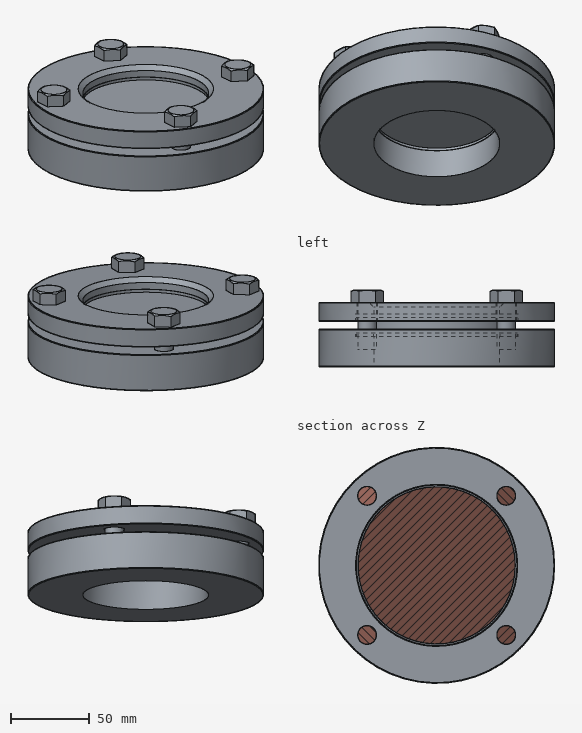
import cadquery as cq
import math


flange_diameter = 150
view_diameter = 80
base_height = 24
cover_thickness = 12
edge_chamfer = 0.5
view_chamfer = 3

glass_diameter = 100
glass_thickness = 10
gasket_outer_diameter = 102
gasket_inner_diameter = 80.5
gasket_thickness = 2
recess_diameter = 103
recess_depth = 4.5

bolt_count = 4
bolt_circle_diameter = 125
first_bolt_angle = 45
bolt_diameter = 12
bolt_length = 30
clearance_hole_diameter = 13
head_sides = 6
head_across_flats = 18
head_height = 8
head_top_diameter = 16.4
head_chamfer_angle = 23

base_recess_floor = base_height - recess_depth
glass_bottom = base_recess_floor + gasket_thickness
glass_top = glass_bottom + glass_thickness
upper_gasket_top = glass_top + gasket_thickness
cover_bottom = upper_gasket_top - recess_depth
cover_top = cover_bottom + cover_thickness
head_top = cover_top + head_height
bolt_tip = cover_top - bolt_length


def disc(diameter, bottom, top):
    """Solid cylinder on the Z axis between two levels."""
    return cq.Workplane("XY").workplane(offset=bottom).circle(diameter / 2).extrude(top - bottom)


def bolt_cylinders(diameter, bottom, top):
    """Cylinders between two levels, one at each bolt position."""
    return (
        cq.Workplane("XY")
        .workplane(offset=bottom)
        .polarArray(bolt_circle_diameter / 2, first_bolt_angle, 360, bolt_count)
        .circle(diameter / 2)
        .extrude(top - bottom)
    )


def make_flange(bottom, top):
    """Flange ring with chamfered outer edges and the round view opening."""
    blank = disc(flange_diameter, bottom, top).faces("<Z or >Z").edges().chamfer(edge_chamfer)
    return blank.cut(disc(view_diameter, bottom, top))


def make_base():
    """Lower flange with the glass recess and blind holes that hold the bolts."""
    base = make_flange(0, base_height)
    base = base.cut(disc(recess_diameter, base_recess_floor, base_height))
    return base.cut(bolt_cylinders(bolt_diameter, bolt_tip, base_height))


def make_cover():
    """Upper flange with a chamfered view opening, a gasket recess and clearance holes."""
    cover = make_flange(cover_bottom, cover_top)
    opening_rim = cq.selectors.RadiusNthSelector(0)
    cover = cover.faces(">Z").edges(opening_rim).chamfer(view_chamfer)
    cover = cover.cut(disc(recess_diameter, cover_bottom, upper_gasket_top))
    return cover.cut(bolt_cylinders(clearance_hole_diameter, cover_bottom, cover_top))


def make_gasket(bottom):
    """Flat sealing ring resting on the given level."""
    top = bottom + gasket_thickness
    return disc(gasket_outer_diameter, bottom, top).cut(disc(gasket_inner_diameter, bottom, top))


def make_bolt():
    """Hexagon head bolt on the Z axis, with two corners of the head along Y."""
    corner_diameter = head_across_flats / math.cos(math.pi / head_sides)
    head = (
        cq.Workplane("XY")
        .workplane(offset=cover_top)
        .polygon(head_sides, corner_diameter)
        .extrude(head_height)
        .rotate((0, 0, 0), (0, 0, 1), 90)
    )
    corner_radius = corner_diameter / 2
    top_radius = head_top_diameter / 2
    corner_drop = (corner_radius - top_radius) * math.tan(math.radians(head_chamfer_angle))
    chamfer_envelope = (
        cq.Workplane("XZ")
        .moveTo(0, cover_top)
        .lineTo(corner_radius, cover_top)
        .lineTo(corner_radius, head_top - corner_drop)
        .lineTo(top_radius, head_top)
        .lineTo(0, head_top)
        .close()
        .revolve(360, (0, 0), (0, 1))
    )
    shank = disc(bolt_diameter, bolt_tip, cover_top)
    return head.intersect(chamfer_envelope).union(shank)


base = make_base()
cover = make_cover()
glass = disc(glass_diameter, glass_bottom, glass_top)
lower_gasket = make_gasket(base_recess_floor)
upper_gasket = make_gasket(glass_top)

bolt = make_bolt()
bolts = []
for index in range(bolt_count):
    angle = math.radians(first_bolt_angle + index * 360 / bolt_count)
    bolt_x = bolt_circle_diameter / 2 * math.cos(angle)
    bolt_y = bolt_circle_diameter / 2 * math.sin(angle)
    bolts.append(bolt.translate((bolt_x, bolt_y, 0)).val())

result = cq.Compound.makeCompound(
    [base.val(), cover.val(), glass.val(), lower_gasket.val(), upper_gasket.val(), *bolts]
)